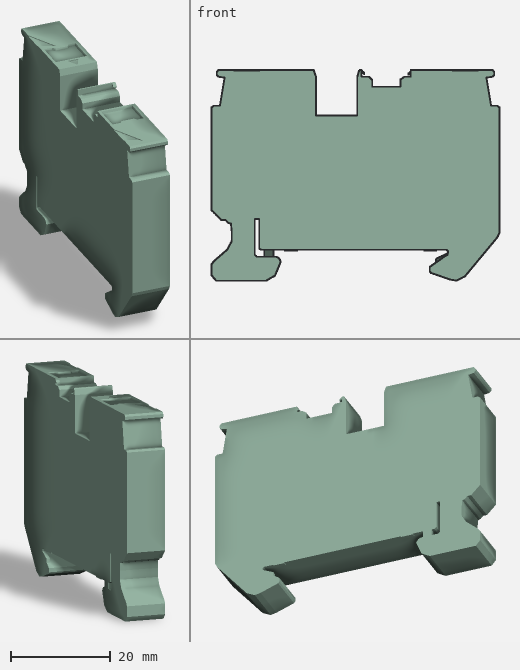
import cadquery as cq

length = 57.8
thickness = 8.2
height = 42.3

cap_left = 1.05
shoulder_z = 35.15
cap_lip_z = 40.75
ledge_z = 41.0
seat_z = 38.95
center_slot_z = 33.2
center_slot_left, center_slot_right = 21.0, 29.25
fin_right = 30.1
seat_left, seat_right = 32.3, 37.9
left_seat_chamfer = 0.7
right_seat_chamfer_x, right_seat_chamfer_z = 0.8, 0.6
block_left = 39.95

rail_z = 6.2
foot_top_z = 4.85
flex_slot_left, flex_slot_right = 8.7, 9.55
flex_slot_top = 12.35

plate_thickness = 0.85
tab_thickness = 0.75
pad_drop = 0.2
arrow_depth = 0.2
pointer_depth = 0.25
pocket_depth = 0.45
pocket_draft = 0.2
pocket_front_slope = 0.45
arrow_base_left, arrow_base_right = 4.55, 9.5
arrow_tip = (11.15, 3.4)
arrow_pitch = 43.85


def mirror_x(points):
    """Reflect points about the middle of the length, keeping the path direction."""
    return [(length - x, z) for x, z in reversed(points)]


def extrude_xz(points, front, back):
    """Solid with an XZ outline that runs from y = front to y = back."""
    outline = cq.Workplane("XZ", origin=(0, front, 0)).polyline(points).close()
    return outline.extrude(front - back)


def body():
    left_cap = [
        (0, shoulder_z - 0.35),
        (0.45, shoulder_z),
        (1.7, shoulder_z),
        (2.6, cap_lip_z),
        (cap_left + 0.35, cap_lip_z + 0.2),
        (cap_left, height - 1.05),
        (cap_left, height - 0.4),
        (cap_left + 0.35, height),
    ]
    top_recesses = [
        (center_slot_left - 0.45, height),
        (center_slot_left, ledge_z),
        (center_slot_left, center_slot_z),
        (center_slot_right, center_slot_z),
        (center_slot_right, ledge_z),
        (29.6, height - 0.2),
        (29.75, height),
        (fin_right - 0.05, height),
        (fin_right, ledge_z),
        (seat_left - left_seat_chamfer, ledge_z),
        (seat_left, ledge_z - left_seat_chamfer),
        (seat_left, seat_z),
        (seat_right, seat_z),
        (seat_right, ledge_z - right_seat_chamfer_z),
        (seat_right + right_seat_chamfer_x, ledge_z),
        (block_left, ledge_z),
        (block_left, height),
    ]
    fixed_foot = [
        (length, 9.6),
        (57.4, 8.7),
        (50.85, 0.85),
        (49.15, 0),
        (47.85, 0.25),
        (44.05, 1.55),
        (43.75, 1.9),
        (43.75, 2.8),
        (46.75, 4.85),
        (47.45, 5.25),
        (47.45, 5.95),
        (47.15, rail_z),
    ]
    spring_foot = [
        (flex_slot_right + 0.45, rail_z),
        (flex_slot_right, rail_z + 0.3),
        (flex_slot_right, flex_slot_top),
        (flex_slot_left, flex_slot_top),
        (flex_slot_left, foot_top_z + 0.35),
        (flex_slot_left + 0.35, foot_top_z),
        (12.95, foot_top_z),
        (13.5, 4.55),
        (13.95, 3.9),
        (12.8, 1.05),
        (11.0, 0),
        (0.9, 0),
        (0, 1.1),
        (0, 3.3),
        (0.45, 3.95),
        (3.2, 6.3),
        (4.05, 8.0),
        (4.05, 9.8),
        (3.9, 11.45),
        (3.4, 11.55),
        (2.8, 12.2),
        (1.95, 12.2),
        (0, 14.15),
    ]
    outline = left_cap + top_recesses + mirror_x(left_cap) + fixed_foot + spring_foot
    return extrude_xz(outline, 0, thickness)


def back_tabs():
    """Snap tabs over the marker ledges and a thin lip on the fixed foot."""
    fin_tab = [(30.05, height), (30.7, 41.7), (30.7, 41.45), (30.4, 41.6), (29.95, 41.6)]
    block_tab = [(40.05, 42.1), (39.55, 41.6), (39.55, 41.4), (40.05, 41.4)]
    foot_lip = [(47.55, 5.6), (45.1, 4.45), (44.95, 3.6), (47.55, 5.3)]
    front = thickness - tab_thickness
    tabs = extrude_xz(fin_tab, front, thickness)
    for outline in (block_tab, foot_lip):
        tabs = tabs.union(extrude_xz(outline, front, thickness))
    return tabs


def back_plate_details():
    """Web joining the spring foot to the body, and two low pads on the rail face."""
    front = thickness - plate_thickness
    overlap = 0.3
    details = cq.Workplane()
    strips = [
        (10.6, 12.5, foot_top_z - overlap),
        (14.7, 17.2, rail_z - pad_drop),
        (42.7, 45.1, rail_z - pad_drop),
    ]
    for left, right, bottom in strips:
        strip_size = (right - left, plate_thickness, rail_z + overlap - bottom)
        strip = cq.Workplane().box(*strip_size, centered=False)
        details = details.add(strip.translate((left, front, bottom)))
    return details.combine()


def top_recess(points, depth):
    """Straight-walled cutter sunk into the top face."""
    return cq.Workplane("XY", origin=(0, 0, height)).polyline(points).close().extrude(-depth)


def label_pocket():
    """Cutter for the drafted left label pocket, with a waist on its outer wall."""
    left, right, waist = 11.4, 17.35, 12.0
    front, back = 0.6, 7.4

    def outline(inset, front_inset):
        return [
            (left + inset, front + front_inset),
            (right - inset, front + front_inset),
            (right - inset, back - inset),
            (left + inset, back - inset),
            (left + inset, 6.0),
            (waist + inset, 5.45),
            (waist + inset, 2.8),
            (left + inset, 2.3),
        ]

    rim = cq.Workplane("XY", origin=(0, 0, height)).polyline(outline(0, 0)).close()
    floor = rim.workplane(offset=-pocket_depth)
    floor = floor.polyline(outline(pocket_draft, pocket_front_slope)).close()
    return floor.loft(ruled=True)


def pointer_recess():
    """Cutter for the small triangle that points toward the wide slot."""
    return top_recess([(17.8, 5.3), (17.8, 3.0), (20.2, 4.15)], pointer_depth)


result = body().union(back_tabs()).union(back_plate_details())

pocket = label_pocket()
result = result.cut(pocket)
result = result.cut(pocket.mirror("YZ", (length / 2, 0, 0)))
result = result.cut(pointer_recess())

arrow = top_recess([(arrow_base_left, 0), arrow_tip, (arrow_base_right, 0)], arrow_depth)
for offset in (0, arrow_pitch):
    result = result.cut(arrow.translate((offset, 0, 0)))